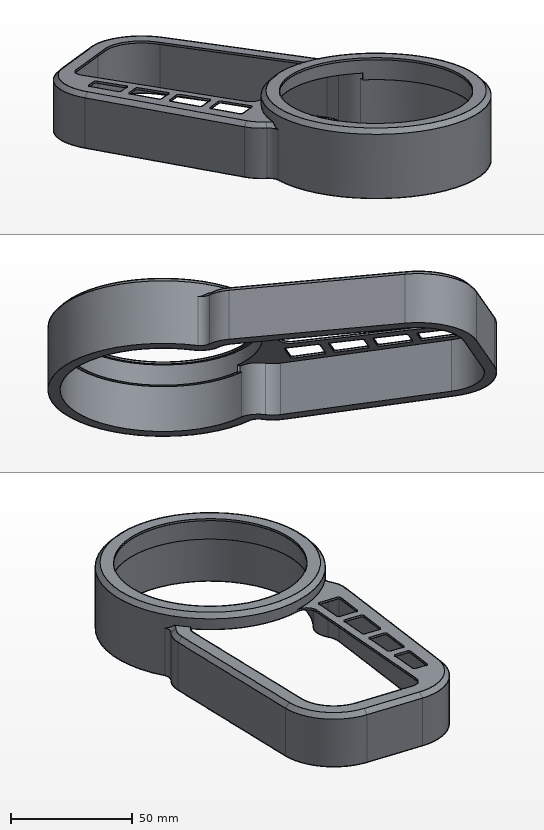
import cadquery as cq
import math

RING_RADIUS = 47.5
RING_HEIGHT = 30.2
RING_OPENING_RADIUS = 39.9
SEAT_RADIUS = 41.0
SEAT_BOTTOM = 20.2

OVERALL_LENGTH = 185.5
FRAME_HEIGHT = 24.1
FRAME_LEFT = RING_RADIUS - OVERALL_LENGTH
FRAME_RIGHT = -24.3
FRAME_LEFT_HALF_WIDTH = 37.3
TAPER_ANGLE = math.radians(3)
LEFT_CORNER_RADIUS = 24.9
RIGHT_CORNER_RADIUS = 15.0
NECK_RADIUS = 5.0
NECK_OVERLAP = 0.04

WALL = 5.0
LIP = 1.0
TOP_CHAMFER = 2.0

BORDER = 8.2
WINDOW_BOTTOM = -19.3
WINDOW_CORNER_RADIUS = 5.0

BUTTON_COUNT = 4
BUTTON_ROW_LEFT = -117.2
BUTTON_PITCH = 19.0
BUTTON_WIDTH = 15.2
BUTTON_TOP = -23.2
BUTTON_CORNER_RADIUS = 1.0


def side_y(x, inset=0.0):
    """Y of the frame's +Y long side at x, moved inwards by inset."""
    flare = math.tan(TAPER_ANGLE) * (x - FRAME_LEFT)
    return FRAME_LEFT_HALF_WIDTH + flare - inset / math.cos(TAPER_ANGLE)


def polar(center, radius, angle):
    return (center[0] + radius * math.cos(angle), center[1] + radius * math.sin(angle))


def angle_to(start, end):
    return math.atan2(end[1] - start[1], end[0] - start[0])


def mirrored(point):
    return (point[0], -point[1])


def frame_outline(inset=0.0):
    """Frame with its blends into the ring, moved inwards by inset and closed at the ring's centre."""
    origin = (0.0, 0.0)
    side_normal = math.pi / 2 + TAPER_ANGLE

    left_x = FRAME_LEFT + LEFT_CORNER_RADIUS
    left_center = (left_x, side_y(left_x, LEFT_CORNER_RADIUS))
    right_x = FRAME_RIGHT - RIGHT_CORNER_RADIUS
    right_center = (right_x, side_y(right_x, RIGHT_CORNER_RADIUS))

    to_ring = RING_RADIUS + NECK_RADIUS - NECK_OVERLAP
    to_corner = RIGHT_CORNER_RADIUS + NECK_RADIUS
    spacing = math.hypot(*right_center)
    cos_at_ring = (to_ring**2 + spacing**2 - to_corner**2) / (2 * to_ring * spacing)
    ring_angle = angle_to(origin, right_center) - math.acos(cos_at_ring)
    neck_center = polar(origin, to_ring, ring_angle)
    corner_angle = angle_to(right_center, neck_center)

    left_radius = LEFT_CORNER_RADIUS - inset
    right_radius = RIGHT_CORNER_RADIUS - inset
    neck_radius = NECK_RADIUS + inset

    left_start = polar(left_center, left_radius, math.pi)
    left_mid = polar(left_center, left_radius, (math.pi + side_normal) / 2)
    left_end = polar(left_center, left_radius, side_normal)
    right_start = polar(right_center, right_radius, side_normal)
    right_mid = polar(right_center, right_radius, (side_normal + corner_angle) / 2)
    neck_start = polar(right_center, right_radius, corner_angle)
    neck_mid = polar(neck_center, neck_radius, (corner_angle + ring_angle) / 2 + math.pi)
    neck_end = polar(neck_center, neck_radius, ring_angle + math.pi)

    return (
        cq.Workplane("XY")
        .moveTo(*left_start)
        .threePointArc(left_mid, left_end)
        .lineTo(*right_start)
        .threePointArc(right_mid, neck_start)
        .threePointArc(neck_mid, neck_end)
        .lineTo(*origin)
        .lineTo(*mirrored(neck_end))
        .threePointArc(mirrored(neck_mid), mirrored(neck_start))
        .threePointArc(mirrored(right_mid), mirrored(right_start))
        .lineTo(*mirrored(left_end))
        .threePointArc(mirrored(left_mid), mirrored(left_start))
        .close()
    )


def disc(radius, bottom, top):
    return cq.Workplane("XY").workplane(offset=bottom).circle(radius).extrude(top - bottom)


def make_body():
    frame = frame_outline().extrude(FRAME_HEIGHT)
    outer_edges = frame.faces(">Z").edges("not >>X")
    frame = outer_edges.chamfer(TOP_CHAMFER)
    ring = disc(RING_RADIUS, 0, RING_HEIGHT).faces(">Z").chamfer(TOP_CHAMFER)
    return ring.union(frame)


def make_cavity():
    """Hollow under the top skin, with the ring's bore, seat and through opening."""
    hollow = frame_outline(WALL).extrude(FRAME_HEIGHT - LIP)
    bore = disc(RING_RADIUS - WALL, 0, SEAT_BOTTOM)
    seat = disc(SEAT_RADIUS, 0, RING_HEIGHT - LIP)
    opening = disc(RING_OPENING_RADIUS, 0, RING_HEIGHT)
    return bore.union(seat).union(opening).union(hollow)


def make_window():
    """Opening bounded by the frame's border, the button strip and the ring."""
    left = FRAME_LEFT + BORDER
    right = FRAME_RIGHT - BORDER
    outline = [
        (left, WINDOW_BOTTOM),
        (right, WINDOW_BOTTOM),
        (right, side_y(right, BORDER)),
        (left, side_y(left, BORDER)),
    ]
    blank = cq.Workplane("XY").polyline(outline).close().extrude(FRAME_HEIGHT)
    blank = blank.edges("|Z").edges(">X").edges(">Y").fillet(RIGHT_CORNER_RADIUS - BORDER)
    blank = blank.edges("|Z").edges("<X").edges(">Y").fillet(LEFT_CORNER_RADIUS - BORDER)
    blank = blank.edges("|Z").edges("<X").edges("<Y").fillet(WINDOW_CORNER_RADIUS)
    window = blank.cut(disc(RING_RADIUS, 0, FRAME_HEIGHT))
    corner_at_ring = window.edges("|Z").edges("<Y").edges(">X")
    return corner_at_ring.fillet(WINDOW_CORNER_RADIUS)


def make_button(left):
    """Opening whose lower edge follows the frame's tapered -Y side."""
    right = left + BUTTON_WIDTH
    outline = [
        (left, BUTTON_TOP),
        (right, BUTTON_TOP),
        (right, -side_y(right, BORDER)),
        (left, -side_y(left, BORDER)),
    ]
    button = cq.Workplane("XY").polyline(outline).close().extrude(FRAME_HEIGHT)
    return button.edges("|Z").fillet(BUTTON_CORNER_RADIUS)


result = make_body().cut(make_cavity()).cut(make_window())
for index in range(BUTTON_COUNT):
    result = result.cut(make_button(BUTTON_ROW_LEFT + index * BUTTON_PITCH))